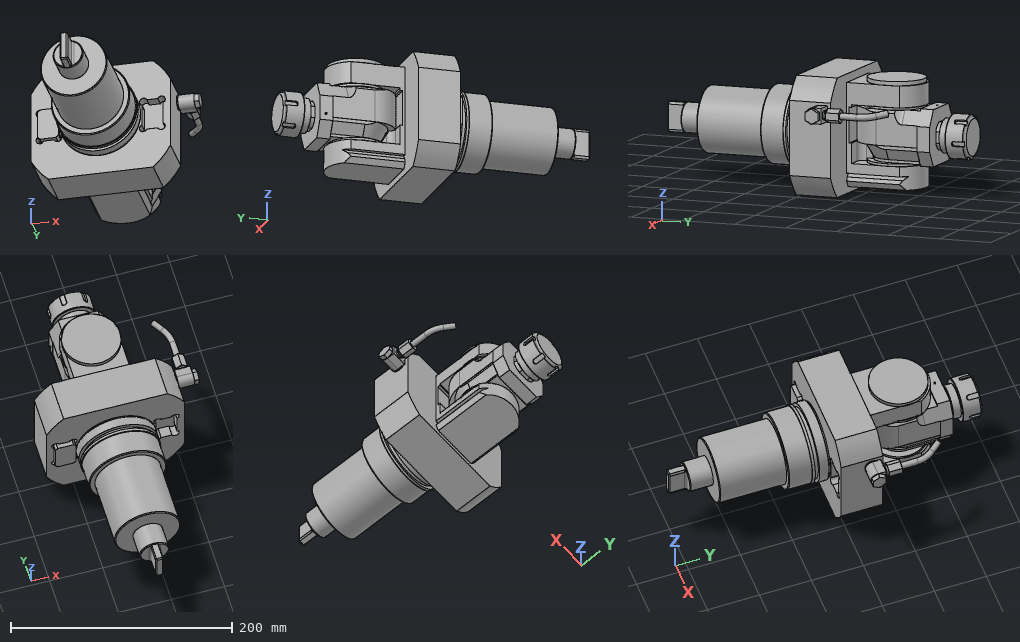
import cadquery as cq
import math


PLATE_HEIGHT = 110.0
PLATE_WIDTH = 130.0
PLATE_THICKNESS = 40.0
PLATE_CORNER_DIAMETER = 147.0

KEY_HALF_HEIGHT = 15.0
KEY_INNER_X = 38.3
KEY_OUTER_X = 57.8
KEY_PROJECTION = 4.2
KEY_CHAMFER = 2.5
POCKET_DEPTH = 10.0
RELIEF_DIAMETER = 7.0
RELIEF_INSET = 1.5

SHANK_NECK_DIAMETER = 73.0
COLLAR_DIAMETER = 75.0
GROOVE_DIAMETER = 68.0
SEAT_DIAMETER = 73.0
SHANK_DIAMETER = 62.0
DRIVE_DIAMETER = 28.0
SHANK_NECK_END = 1.5
COLLAR_END = 10.7
GROOVE_END = 14.8
RIM_END = 17.5
SEAT_END = 40.0
SHANK_END = 104.5
DRIVE_END = 126.5
TANG_END = 143.5
TANG_THICKNESS = 7.5
SHANK_CHAMFER = 1.0
TANG_TIP_CHAMFER = 1.2
TANG_EDGE_BEVEL = (1.0, 2.5)
TANG_ROOT_RADIUS = 1.8

PIVOT_Y = 78.5
CLEVIS_HALF_WIDTH = 26.0
CLEVIS_END_RADIUS = 29.0
CLEVIS_TOP = 47.1
CLEVIS_BOTTOM = -49.0
GAP_HALF_HEIGHT = 27.0
GAP_FLOOR_Y = 44.8
WEB_HALF_WIDTH = 6.0
GAP_BLEND_RADIUS = 6.5
POCKET_FLOOR_Y = 42.5
CONE_CLEARANCE = 1.0
CAP_DIAMETER = 54.0
CAP_TOP = 51.0
RAIL_TOP = -36.2
RAIL_MIDDLE = -39.7
RAIL_WIDEST = -43.3
RAIL_NECK_HALF_WIDTH = 21.4
RAIL_MIDDLE_HALF_WIDTH = 24.5
RAIL_BOTTOM_HALF_WIDTH = 22.5

HEAD_HALF_WIDTH = 27.5
HEAD_HALF_HEIGHT = 26.5
HEAD_SIDE_HALF_HEIGHT = 11.5
HEAD_FLAT_HALF_WIDTH = 18.7
HEAD_FRONT_Y = 121.5
HEAD_PLATE_BACK_Y = 109.0
BODY_HALF_HEIGHT = 24.5
BODY_BEVEL_HALF_HEIGHT = 22.0
BODY_SIDE_BOTTOM = -8.3
UPPER_BEVEL_END_Y = 94.3
BEVEL_RUNOUT_RADIUS = 8.0
ROUND_END_Y = 69.0
BODY_HALF_WIDTH = 27.3
LOWER_HALF_WIDTH = 27.0
PIVOT_DISC_DIAMETER = 41.5
CONE_TOP_RADIUS = 29.0
PIN_HOLE_DIAMETER = 1.7
PIN_HOLE_DEPTH = 1.5
PIN_HOLE_Y = 115.5
PIN_HOLE_OFFSET = -5.3

SPINDLE_DIAMETER = 28.0
SPINDLE_FLAT_WIDTH = 25.8
CHUCK_BACK_Y = 126.0
CHUCK_DIAMETER = 32.0
NUT_BACK_Y = 133.5
NUT_DIAMETER = 41.5
NUT_SHOULDER_DIAMETER = 39.0
NUT_FACE_DIAMETER = 34.5
NUT_FACE_Y = 153.0
NUT_FACE_BEVEL = 1.8
NUT_EDGE_CHAMFER = 0.5
NUT_SLOT_COUNT = 6
NUT_SLOT_WIDTH = 4.7
NUT_SLOT_DEPTH = 2.0
NUT_SLOT_END_Y = 140.0
NUT_SLOT_START_ANGLE = 10

ELBOW_DIAMETER = 14.5
ELBOW_Y = 29.7
ELBOW_FACE_Y = 37.5
ELBOW_Z = 25.0
ELBOW_NECK_DIAMETER = 13.5
ELBOW_START_X = 66.0
ELBOW_END_X = 81.2
HEX_END_X = 85.7
PIPE_X = 74.0
PIPE_NUT_NECK_DIAMETER = 9.8
PIPE_NUT_GROOVE_DIAMETER = 8.3
PIPE_NUT_NECK_Y = 39.0
PIPE_NUT_START_Y = 41.0
PIPE_NUT_END_Y = 53.7
PIPE_NUT_FLATS = 11.3
PIPE_DIAMETER = 6.2
PIPE_BEND_Y = 69.7
PIPE_BEND_RADIUS = 25.5
PIPE_BEND_ANGLE = 38
PIPE_TILT_ANGLE = 15
PIPE_TAIL_LENGTH = 11.5


def rod_x(diameter, x_from, x_to):
    """Round rod along X on the fitting axis."""
    plane = cq.Workplane("YZ", origin=(x_from, ELBOW_Y, ELBOW_Z))
    return plane.circle(diameter / 2).extrude(x_to - x_from)


def rod_y(diameter, y_from, y_to, x=0, z=0):
    """Round rod along Y."""
    plane = cq.Workplane("XZ", origin=(x, y_from, z))
    return plane.circle(diameter / 2).extrude(y_from - y_to)


def rod_z(diameter, y, z_from, z_to):
    """Round rod along Z, on the X = 0 plane."""
    return cq.Workplane("XY", origin=(0, y, z_from)).circle(diameter / 2).extrude(z_to - z_from)


def block(x_range, y_range, z_range):
    """Box given by its limits along each axis."""
    size = [high - low for low, high in (x_range, y_range, z_range)]
    corner = (x_range[0], y_range[0], z_range[0])
    return cq.Workplane("XY", origin=corner).box(*size, centered=False)


def mirrored(half_outline):
    """Close an outline drawn on the +X half by mirroring it across X = 0."""
    return half_outline + [(-x, z) for x, z in reversed(half_outline)]


def prism_y(points, y_from, y_to):
    """Polygon in X and Z, extruded along Y."""
    return cq.Workplane("XZ", origin=(0, y_from, 0)).polyline(points).close().extrude(y_from - y_to)


def hexagon(flats):
    """Corner points of a hexagon with corners at the top and bottom."""
    radius = flats / math.sqrt(3)
    angles = [math.radians(90 + 60 * i) for i in range(6)]
    return [(radius * math.cos(a), radius * math.sin(a)) for a in angles]


def make_plate():
    half_width = PLATE_WIDTH / 2
    half_height = PLATE_HEIGHT / 2
    slab = block((-half_width, half_width), (0, PLATE_THICKNESS), (-half_height, half_height))
    plate = slab.intersect(rod_y(PLATE_CORNER_DIAMETER, 0, PLATE_THICKNESS))
    for side in (-1, 1):
        plate = plate.cut(make_key_pocket(side))
    return plate.union(make_key())


def make_key_pocket(side):
    x_limits = sorted((side * KEY_INNER_X, side * KEY_OUTER_X))
    pocket = block(x_limits, (0, POCKET_DEPTH), (-KEY_HALF_HEIGHT, KEY_HALF_HEIGHT))
    for x in (KEY_INNER_X + RELIEF_INSET, KEY_OUTER_X - RELIEF_INSET):
        for end in (-1, 1):
            z = end * (KEY_HALF_HEIGHT - RELIEF_INSET)
            pocket = pocket.union(rod_y(RELIEF_DIAMETER, 0, POCKET_DEPTH, side * x, z))
    return pocket


def make_key():
    x_limits = (-KEY_OUTER_X, -KEY_INNER_X)
    key = block(x_limits, (-KEY_PROJECTION, POCKET_DEPTH), (-KEY_HALF_HEIGHT, KEY_HALF_HEIGHT))
    return key.edges("|Y").chamfer(KEY_CHAMFER)


def make_shank():
    sections = [
        (SHANK_NECK_DIAMETER, 0, SHANK_NECK_END),
        (COLLAR_DIAMETER, SHANK_NECK_END, COLLAR_END),
        (GROOVE_DIAMETER, COLLAR_END, GROOVE_END),
        (COLLAR_DIAMETER, GROOVE_END, RIM_END),
    ]
    chamfered_sections = [
        (SEAT_DIAMETER, RIM_END, SEAT_END),
        (SHANK_DIAMETER, SEAT_END, SHANK_END),
        (DRIVE_DIAMETER, SHANK_END, DRIVE_END),
    ]
    shank = rod_y(GROOVE_DIAMETER, POCKET_DEPTH, -COLLAR_END)
    for diameter, start, end in sections:
        shank = shank.union(rod_y(diameter, -start, -end))
    for diameter, start, end in chamfered_sections:
        section = rod_y(diameter, -start, -end).faces("<Y").chamfer(SHANK_CHAMFER)
        shank = shank.union(section)
    return shank.union(make_tang())


def make_tang():
    half = TANG_THICKNESS / 2
    top = DRIVE_DIAMETER / 2
    bevel_x, bevel_z = TANG_EDGE_BEVEL
    corner = [(half, bevel_z - top), (half, top - bevel_z), (half - bevel_x, top)]
    outline = mirrored([(half - bevel_x, -top)] + corner)
    tang = prism_y(outline, -DRIVE_END, -TANG_END).faces("<Y").chamfer(TANG_TIP_CHAMFER)

    root = half + TANG_ROOT_RADIUS
    y_root = -DRIVE_END
    y_tangent = y_root - TANG_ROOT_RADIUS
    sweep = TANG_ROOT_RADIUS * (1 - math.sqrt(0.5))
    fillets = (
        cq.Workplane("XY", origin=(0, 0, -top))
        .moveTo(-root, y_root)
        .lineTo(root, y_root)
        .threePointArc((half + sweep, y_root - sweep), (half, y_tangent))
        .lineTo(-half, y_tangent)
        .threePointArc((-half - sweep, y_root - sweep), (-root, y_root))
        .close()
        .extrude(DRIVE_DIAMETER)
    )
    journal = rod_y(DRIVE_DIAMETER - 2 * SHANK_CHAMFER, y_root, y_tangent)
    return tang.union(fillets.intersect(journal))


def make_clevis():
    side = CLEVIS_HALF_WIDTH
    outline = mirrored([
        (RAIL_BOTTOM_HALF_WIDTH, CLEVIS_BOTTOM),
        (side, RAIL_WIDEST),
        (RAIL_MIDDLE_HALF_WIDTH, RAIL_MIDDLE),
        (RAIL_NECK_HALF_WIDTH, RAIL_TOP),
        (side, RAIL_TOP),
        (side, CLEVIS_TOP),
    ])
    arms = prism_y(outline, PLATE_THICKNESS, PIVOT_Y + CLEVIS_END_RADIUS)
    footprint = rod_z(2 * CLEVIS_END_RADIUS, PIVOT_Y, CLEVIS_BOTTOM, CLEVIS_TOP).union(
        block((-side, side), (PLATE_THICKNESS, PIVOT_Y), (CLEVIS_BOTTOM, CLEVIS_TOP))
    )
    arms = arms.intersect(footprint).cut(make_clevis_gap())
    return arms.union(rod_z(CAP_DIAMETER, PIVOT_Y, CLEVIS_TOP, CAP_TOP))


def make_clevis_gap():
    """Space between the arms, with a deeper rear pocket that receives the round head end."""
    side = CLEVIS_HALF_WIDTH
    gap_end = PIVOT_Y + CLEVIS_END_RADIUS
    z_limits = (-GAP_HALF_HEIGHT, GAP_HALF_HEIGHT)
    gap = block((-side, side), (GAP_FLOOR_Y, gap_end), z_limits)
    rear_pocket = block(
        (-side, side),
        (POCKET_FLOOR_Y, GAP_FLOOR_Y),
        (BODY_SIDE_BOTTOM, BODY_HALF_HEIGHT),
    )
    return gap.cut(make_web()).union(rear_pocket)


def make_web():
    """Central web behind the pivot cone, blended into the gap floor on both sides."""
    blend = GAP_BLEND_RADIUS
    wide = WEB_HALF_WIDTH + blend
    blend_end = GAP_FLOOR_Y + blend
    z_low = -GAP_HALF_HEIGHT
    height = BODY_SIDE_BOTTOM - z_low
    web = block((-wide, wide), (GAP_FLOOR_Y, PIVOT_Y), (z_low, BODY_SIDE_BOTTOM))
    for sign in (-1, 1):
        x_limits = sorted((sign * WEB_HALF_WIDTH, sign * wide))
        web = web.cut(block(x_limits, (blend_end, PIVOT_Y), (z_low, BODY_SIDE_BOTTOM)))
        hollow = cq.Workplane("XY", origin=(sign * wide, blend_end, z_low)).circle(blend).extrude(height)
        web = web.cut(hollow)
    return web.cut(make_cone(CONE_CLEARANCE))


def make_head():
    body = make_upper_body().union(make_lower_body())
    return make_head_plate().union(body).union(make_pivot_end())


def make_head_plate():
    outline = mirrored([
        (HEAD_FLAT_HALF_WIDTH, -HEAD_HALF_HEIGHT),
        (HEAD_HALF_WIDTH, -HEAD_SIDE_HALF_HEIGHT),
        (HEAD_HALF_WIDTH, HEAD_SIDE_HALF_HEIGHT),
        (HEAD_FLAT_HALF_WIDTH, HEAD_HALF_HEIGHT),
    ])
    plate = prism_y(outline, HEAD_PLATE_BACK_Y, HEAD_FRONT_Y)
    top_hole = (
        cq.Workplane("XY", origin=(PIN_HOLE_OFFSET, PIN_HOLE_Y, HEAD_HALF_HEIGHT))
        .circle(PIN_HOLE_DIAMETER / 2)
        .extrude(-PIN_HOLE_DEPTH)
    )
    side_hole = (
        cq.Workplane("YZ", origin=(-HEAD_HALF_WIDTH, PIN_HOLE_Y, PIN_HOLE_OFFSET))
        .circle(PIN_HOLE_DIAMETER / 2)
        .extrude(PIN_HOLE_DEPTH)
    )
    return plate.cut(top_hole).cut(side_hole)


def make_upper_body():
    """Upper part of the head: a half-round rear end and bevelled upper corners."""
    width = BODY_HALF_WIDTH
    height = BODY_HALF_HEIGHT - BODY_SIDE_BOTTOM
    body = (
        cq.Workplane("XY", origin=(0, 0, BODY_SIDE_BOTTOM))
        .moveTo(-width, HEAD_PLATE_BACK_Y)
        .lineTo(-width, ROUND_END_Y)
        .threePointArc((0, ROUND_END_Y - width), (width, ROUND_END_Y))
        .lineTo(width, HEAD_PLATE_BACK_Y)
        .close()
        .extrude(height)
    )
    chamfer = BODY_HALF_HEIGHT - BODY_BEVEL_HALF_HEIGHT
    chamfered = mirrored([
        (width, BODY_SIDE_BOTTOM),
        (width, BODY_BEVEL_HALF_HEIGHT),
        (width - chamfer, BODY_HALF_HEIGHT),
    ])
    body = body.intersect(prism_y(chamfered, ROUND_END_Y - width, HEAD_PLATE_BACK_Y))
    bevel = make_bevel_cutter()
    return body.cut(bevel).cut(bevel.mirror("YZ"))


def make_bevel_cutter():
    """Cutter for the +X bevel; its floor curves outward at the rear end."""
    run = HEAD_HALF_WIDTH - HEAD_FLAT_HALF_WIDTH
    rise = HEAD_HALF_HEIGHT - HEAD_SIDE_HALF_HEIGHT
    slope = cq.Plane(
        origin=(HEAD_HALF_WIDTH, 0, HEAD_SIDE_HALF_HEIGHT),
        xDir=(0, 1, 0),
        normal=(run, 0, -rise),
    )
    radius = BEVEL_RUNOUT_RADIUS
    mid = radius * math.sqrt(0.5)
    return (
        cq.Workplane(slope)
        .moveTo(HEAD_PLATE_BACK_Y, 0)
        .lineTo(UPPER_BEVEL_END_Y, 0)
        .threePointArc((UPPER_BEVEL_END_Y - mid, radius - mid), (UPPER_BEVEL_END_Y - radius, radius))
        .lineTo(HEAD_PLATE_BACK_Y, radius)
        .close()
        .extrude(HEAD_HALF_WIDTH, both=True)
    )


def make_lower_body():
    """Lower part of the head: bevelled sides ahead of the pivot."""
    flat = PIVOT_DISC_DIAMETER / 2
    outline = mirrored([
        (flat, -BODY_HALF_HEIGHT),
        (flat, -BODY_BEVEL_HALF_HEIGHT),
        (LOWER_HALF_WIDTH, -HEAD_SIDE_HALF_HEIGHT),
        (LOWER_HALF_WIDTH, BODY_SIDE_BOTTOM),
    ])
    return prism_y(outline, PIVOT_Y, HEAD_PLATE_BACK_Y)


def make_pivot_end():
    """Pivot washers against both arms and the cone below the head body."""
    washers = rod_z(CAP_DIAMETER, PIVOT_Y, -GAP_HALF_HEIGHT, -BODY_HALF_HEIGHT).union(
        rod_z(CAP_DIAMETER, PIVOT_Y, BODY_HALF_HEIGHT, GAP_HALF_HEIGHT)
    )
    width = LOWER_HALF_WIDTH
    rear = block((-width, width), (PLATE_THICKNESS, PIVOT_Y), (-BODY_HALF_HEIGHT, BODY_SIDE_BOTTOM))
    return washers.union(make_cone(0).intersect(rear))


def make_cone(clearance):
    """Pivot disc and the cone widening above it, grown radially by the clearance."""
    disc_radius = PIVOT_DISC_DIAMETER / 2 + clearance
    top_radius = CONE_TOP_RADIUS + clearance
    return (
        cq.Workplane("XZ", origin=(0, PIVOT_Y, 0))
        .polyline([
            (0, -BODY_HALF_HEIGHT),
            (disc_radius, -BODY_HALF_HEIGHT),
            (disc_radius, -BODY_BEVEL_HALF_HEIGHT),
            (top_radius, BODY_SIDE_BOTTOM),
            (0, BODY_SIDE_BOTTOM),
        ])
        .close()
        .revolve(360, (0, 0, 0), (0, 1, 0))
    )


def make_chuck():
    half_flat = SPINDLE_FLAT_WIDTH / 2
    spindle = rod_y(SPINDLE_DIAMETER, HEAD_FRONT_Y, CHUCK_BACK_Y).intersect(
        block((-half_flat, half_flat), (HEAD_FRONT_Y, CHUCK_BACK_Y), (-half_flat, half_flat))
    )
    chuck = rod_y(CHUCK_DIAMETER, CHUCK_BACK_Y, NUT_BACK_Y)
    return spindle.union(chuck).union(make_collet_nut())


def make_collet_nut():
    radius = NUT_DIAMETER / 2
    shoulder_y = NUT_FACE_Y - NUT_FACE_BEVEL
    profile = [
        (0, NUT_BACK_Y),
        (radius - NUT_EDGE_CHAMFER, NUT_BACK_Y),
        (radius, NUT_BACK_Y + NUT_EDGE_CHAMFER),
        (radius, shoulder_y - NUT_EDGE_CHAMFER),
        (NUT_SHOULDER_DIAMETER / 2, shoulder_y),
        (NUT_FACE_DIAMETER / 2, NUT_FACE_Y),
        (0, NUT_FACE_Y),
    ]
    nut = cq.Workplane("XY").polyline(profile).close().revolve(360, (0, 0, 0), (0, 1, 0))
    slot_radius = NUT_SLOT_WIDTH / 2
    y_round = NUT_SLOT_END_Y + slot_radius
    slot = (
        cq.Workplane("YZ", origin=(radius - NUT_SLOT_DEPTH, 0, 0))
        .moveTo(NUT_FACE_Y, -slot_radius)
        .lineTo(y_round, -slot_radius)
        .threePointArc((NUT_SLOT_END_Y, 0), (y_round, slot_radius))
        .lineTo(NUT_FACE_Y, slot_radius)
        .close()
        .extrude(2 * NUT_SLOT_DEPTH)
    )
    for i in range(NUT_SLOT_COUNT):
        angle = NUT_SLOT_START_ANGLE + i * 360 / NUT_SLOT_COUNT
        nut = nut.cut(slot.rotate((0, 0, 0), (0, 1, 0), angle))
    return nut


def make_coolant_fitting():
    radius = ELBOW_DIAMETER / 2
    plate_side = PLATE_WIDTH / 2
    neck = rod_x(ELBOW_NECK_DIAMETER, plate_side, ELBOW_START_X)
    barrel = rod_x(ELBOW_DIAMETER, ELBOW_START_X, ELBOW_END_X)
    square = block(
        (ELBOW_START_X, ELBOW_END_X),
        (ELBOW_Y, ELBOW_FACE_Y),
        (ELBOW_Z - radius, ELBOW_Z + radius),
    )
    hex_flats = ELBOW_DIAMETER * math.sqrt(3) / 2
    end_cap = (
        cq.Workplane("YZ", origin=(ELBOW_END_X, ELBOW_Y, ELBOW_Z))
        .polyline(hexagon(hex_flats))
        .close()
        .extrude(HEX_END_X - ELBOW_END_X)
    )
    return neck.union(barrel).union(square).union(end_cap).union(make_pipe())


def make_pipe():
    groove = rod_y(PIPE_NUT_GROOVE_DIAMETER, ELBOW_FACE_Y, PIPE_NUT_NECK_Y, PIPE_X, ELBOW_Z)
    neck = rod_y(PIPE_NUT_NECK_DIAMETER, PIPE_NUT_NECK_Y, PIPE_NUT_START_Y, PIPE_X, ELBOW_Z)
    nut_points = [(PIPE_X + x, ELBOW_Z + z) for x, z in hexagon(PIPE_NUT_FLATS)]
    nut = prism_y(nut_points, PIPE_NUT_START_Y, PIPE_NUT_END_Y)

    angle = math.radians(PIPE_BEND_ANGLE)

    def bend_point(turn):
        x = PIPE_X - PIPE_BEND_RADIUS * (1 - math.cos(turn))
        y = PIPE_BEND_Y + PIPE_BEND_RADIUS * math.sin(turn)
        return x, y

    bend_x, bend_y = bend_point(angle)
    tail_x = bend_x - PIPE_TAIL_LENGTH * math.sin(angle)
    tail_y = bend_y + PIPE_TAIL_LENGTH * math.cos(angle)
    path = (
        cq.Workplane("XY", origin=(0, 0, ELBOW_Z))
        .moveTo(PIPE_X, PIPE_NUT_END_Y)
        .lineTo(PIPE_X, PIPE_BEND_Y)
        .threePointArc(bend_point(angle / 2), (bend_x, bend_y))
        .lineTo(tail_x, tail_y)
    )
    section = cq.Workplane("XZ", origin=(PIPE_X, PIPE_NUT_END_Y, ELBOW_Z)).circle(PIPE_DIAMETER / 2)
    axis_start = (PIPE_X, 0, ELBOW_Z)
    axis_end = (PIPE_X, 1, ELBOW_Z)
    pipe = section.sweep(path).rotate(axis_start, axis_end, PIPE_TILT_ANGLE)
    return groove.union(neck).union(nut).union(pipe)


result = (
    make_plate()
    .union(make_shank())
    .union(make_clevis())
    .union(make_head())
    .union(make_chuck())
    .union(make_coolant_fitting())
)